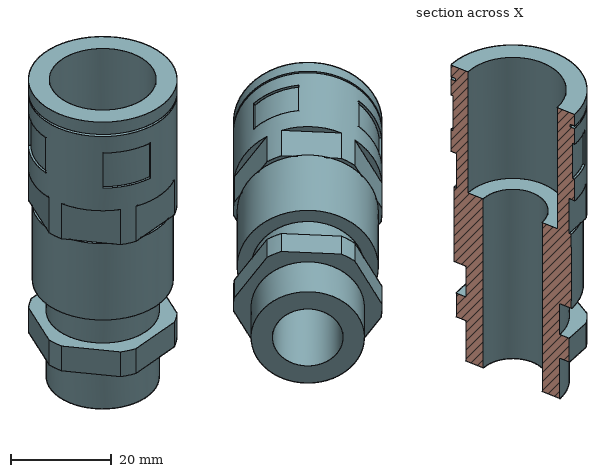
import cadquery as cq

TOTAL_HEIGHT = 72.0
NUT_BOTTOM = 10.0
NUT_TOP = 16.0
BARREL_BOTTOM = 23.5
HEAD_BOTTOM = 42.0
HEAD_FLATS_TOP = 50.5
WINDOW_BOTTOM = 56.0
WINDOW_TOP = 64.5
GROOVE_BOTTOM = 68.5
GROOVE_TOP = 69.0

HEAD_DIAMETER = 29.5
BARREL_DIAMETER = 28.0
STEM_DIAMETER = 22.5
GROOVE_DIAMETER = 27.5
WINDOW_FLOOR_DIAMETER = 28.5

ACROSS_FLATS = 27.0
FLAT_COUNT = 6

WINDOW_WIDTH = 10.0
WINDOW_COUNT = 4

CONDUIT_BORE_DIAMETER = 21.2
CABLE_BORE_DIAMETER = 14.0
CONDUIT_BORE_FLOOR = HEAD_BOTTOM


def cylinder(diameter, bottom, top):
    """Upright cylinder on the Z axis."""
    return cq.Workplane("XY").workplane(offset=bottom).circle(diameter / 2).extrude(top - bottom)


def ring(outer_diameter, inner_diameter, bottom, top):
    """Upright tube on the Z axis."""
    return cylinder(outer_diameter, bottom, top).cut(cylinder(inner_diameter, bottom, top))


def rounded_hexagon(bottom, top):
    """Hexagon with flats facing +Y and -Y, its corners rounded to the head diameter."""
    hexagon = cylinder(HEAD_DIAMETER, bottom, top)
    for index in range(FLAT_COUNT // 2):
        slab = (
            cq.Workplane("XY")
            .workplane(offset=bottom)
            .rect(2 * HEAD_DIAMETER, ACROSS_FLATS)
            .extrude(top - bottom)
            .rotate((0, 0, 0), (0, 0, 1), index * 360 / FLAT_COUNT)
        )
        hexagon = hexagon.intersect(slab)
    return hexagon


def windows():
    """Shallow curved pockets facing +X, +Y, -X and -Y, as one cutting body."""
    shell = ring(2 * HEAD_DIAMETER, WINDOW_FLOOR_DIAMETER, WINDOW_BOTTOM, WINDOW_TOP)
    bar = (
        cq.Workplane("XY")
        .workplane(offset=WINDOW_BOTTOM)
        .rect(2 * HEAD_DIAMETER, WINDOW_WIDTH)
        .extrude(WINDOW_TOP - WINDOW_BOTTOM)
    )
    cross = bar
    for index in range(1, WINDOW_COUNT // 2):
        cross = cross.union(bar.rotate((0, 0, 0), (0, 0, 1), index * 360 / WINDOW_COUNT))
    return shell.intersect(cross)


body = cylinder(STEM_DIAMETER, 0, BARREL_BOTTOM)
body = body.union(rounded_hexagon(NUT_BOTTOM, NUT_TOP))
body = body.union(cylinder(BARREL_DIAMETER, BARREL_BOTTOM, HEAD_BOTTOM))
body = body.union(rounded_hexagon(HEAD_BOTTOM, HEAD_FLATS_TOP))
body = body.union(cylinder(HEAD_DIAMETER, HEAD_FLATS_TOP, TOTAL_HEIGHT))

body = body.cut(ring(2 * HEAD_DIAMETER, GROOVE_DIAMETER, GROOVE_BOTTOM, GROOVE_TOP))
body = body.cut(windows())

body = body.cut(cylinder(CABLE_BORE_DIAMETER, 0, TOTAL_HEIGHT))
body = body.cut(cylinder(CONDUIT_BORE_DIAMETER, CONDUIT_BORE_FLOOR, TOTAL_HEIGHT))

result = body